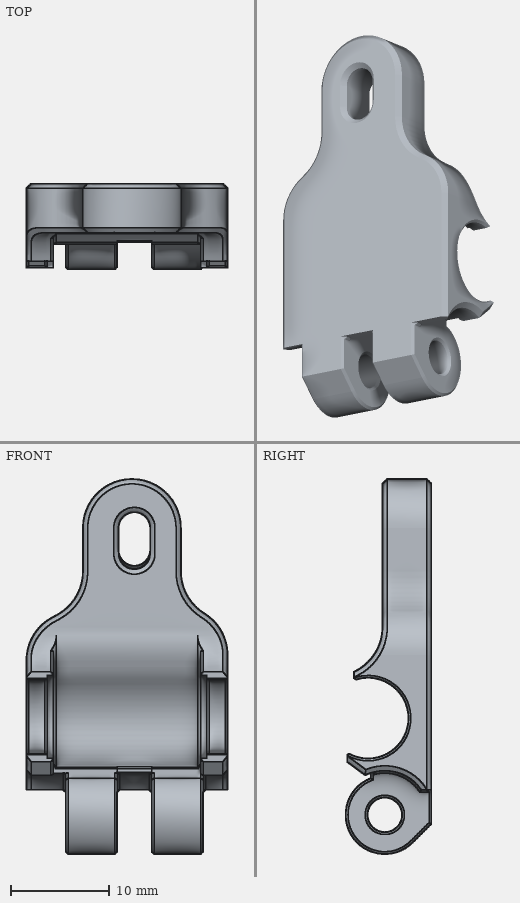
import cadquery as cq
import math


BODY_HALF = 10.25
PLATE_Y = -5.0
BODY_BOTTOM = 2.55
EDGE_CHAMFER = 0.5
SMALL_CHAMFER = 0.25

TAB_X = 0.5
TAB_RADIUS = 5.0
TAB_Z = 29.21
LEFT_SHOULDER_Z = 15.7
NECK_Z = 24.77
BEND_RADIUS = 5.0

SLOT_X = 0.75
SLOT_RADIUS = 1.6
FRONT_SLOT_TRAVEL = 2.6
BACK_SLOT_TRAVEL = 2.2

HINGE_Y = -4.75
KNUCKLE_RADIUS = 4.0
CLEARANCE_RADIUS = 4.5
PIN_RADIUS = 1.75
KNUCKLE_WIDTH = 5.25
KNUCKLE_STARTS = (-6.25, 2.5)
KNUCKLE_TOP = 4.75
RAMP_ANGLE = 45.0

SEAT_Y = -6.45
SEAT_Z = 9.85
SEAT_RADIUS = 4.1
STEP_RADIUS = 4.6
STEP_HALF = 8.1

HORN_RADIUS = 5.0
HORN_Z = 19.1
UPPER_TIP_Y = -7.9
LOWER_TIP_Y = -8.6
LOWER_TIP_Z = 5.4
LOWER_HEEL_Y = -6.75

POCKET_HALF = 7.5
POCKET_RADIUS = 5.0
POCKET_CHAMFER = 0.3
BROW_RADIUS = 4.0
BROW_START_ANGLE = 10.0
BROW_END_ANGLE = 51.0
LIP_Y = -6.2
LIP_CHAMFER = 0.2
GAP_LIP_SETBACK = 0.2

TOLERANCE = 0.001

CLEAR = 5.0


def polar(center, radius, degrees):
    angle = math.radians(degrees)
    return (center[0] + radius * math.cos(angle), center[1] + radius * math.sin(angle))


def heading(start, end):
    return math.degrees(math.atan2(end[1] - start[1], end[0] - start[0]))


def arc_height(radius, center_y, y):
    """Height of a circle's rim above its centre at a given Y."""
    return math.sqrt(radius**2 - (y - center_y) ** 2)


def revolved(half_section):
    """Solid turned about the X axis from (X, radius) points."""
    return cq.Workplane("XY").polyline(half_section).close().revolve(360, (0, 0, 0), (1, 0, 0))


def outline():
    """Front outline: body, shoulders and tab, extruded through the full depth."""
    tab_left = TAB_X - TAB_RADIUS
    tab_right = TAB_X + TAB_RADIUS

    left_shoulder = (-BODY_HALF + BEND_RADIUS, LEFT_SHOULDER_Z)
    left_neck = (tab_left - BEND_RADIUS, NECK_Z)
    spread = math.degrees(math.acos(2 * BEND_RADIUS / math.dist(left_shoulder, left_neck)))
    left_angle = heading(left_shoulder, left_neck) + spread
    left_end = polar(left_shoulder, BEND_RADIUS, left_angle)
    left_half = (180 + left_angle) / 2

    right_shoulder_x = BODY_HALF - BEND_RADIUS
    right_neck = (tab_right + BEND_RADIUS, NECK_Z)
    drop = math.sqrt((2 * BEND_RADIUS) ** 2 - (right_neck[0] - right_shoulder_x) ** 2)
    right_shoulder = (right_shoulder_x, NECK_Z - drop)
    right_angle = heading(right_shoulder, right_neck)
    right_touch = polar(right_shoulder, BEND_RADIUS, right_angle)
    right_half = right_angle / 2

    return (
        cq.Workplane("XZ")
        .moveTo(-BODY_HALF, 0)
        .lineTo(-BODY_HALF, LEFT_SHOULDER_Z)
        .threePointArc(polar(left_shoulder, BEND_RADIUS, left_half), left_end)
        .lineTo(*polar(left_neck, -BEND_RADIUS, left_angle))
        .threePointArc(polar(left_neck, -BEND_RADIUS, left_half), (tab_left, NECK_Z))
        .lineTo(tab_left, TAB_Z)
        .threePointArc((TAB_X, TAB_Z + TAB_RADIUS), (tab_right, TAB_Z))
        .lineTo(tab_right, NECK_Z)
        .threePointArc(polar(right_neck, -BEND_RADIUS, right_half), right_touch)
        .threePointArc(polar(right_shoulder, BEND_RADIUS, right_half), (BODY_HALF, right_shoulder[1]))
        .lineTo(BODY_HALF, 0)
        .close()
        .extrude(-LOWER_TIP_Y + CLEAR)
    )


def side_profile():
    """Side shape of plate and horns, with the seat still solid, extruded across the full width."""
    horn_center = (PLATE_Y - HORN_RADIUS, HORN_Z)
    upper_tip_z = HORN_Z - arc_height(HORN_RADIUS, horn_center[0], UPPER_TIP_Y)
    tip_angle = heading(horn_center, (UPPER_TIP_Y, upper_tip_z))
    heel_z = arc_height(CLEARANCE_RADIUS, HINGE_Y, LOWER_HEEL_Y)
    bottom_y = HINGE_Y + arc_height(CLEARANCE_RADIUS, 0, BODY_BOTTOM)
    return (
        cq.Workplane("YZ", origin=(-BODY_HALF, 0, 0))
        .moveTo(0, BODY_BOTTOM)
        .lineTo(0, TAB_Z + TAB_RADIUS)
        .lineTo(PLATE_Y, TAB_Z + TAB_RADIUS)
        .lineTo(PLATE_Y, HORN_Z)
        .threePointArc(polar(horn_center, HORN_RADIUS, tip_angle / 2), (UPPER_TIP_Y, upper_tip_z))
        .lineTo(UPPER_TIP_Y, SEAT_Z)
        .lineTo(LOWER_TIP_Y, SEAT_Z)
        .lineTo(LOWER_TIP_Y, LOWER_TIP_Z)
        .lineTo(LOWER_HEEL_Y, heel_z)
        .threePointArc((HINGE_Y, CLEARANCE_RADIUS), (bottom_y, BODY_BOTTOM))
        .close()
        .extrude(2 * BODY_HALF)
    )


def front_edges(blank):
    """Edges where the outline walls meet the plate, the horns and the hinge clearance.

    Left out are the back rim, the lines running across X and the stub that the seat removes.
    """
    outer_width = 2 * BODY_HALF
    picked = []
    for edge in blank.edges("not |Y").vals():
        box = edge.BoundingBox()
        on_back = box.ymax > -EDGE_CHAMFER / 2
        across = box.xlen > outer_width - 2 * BEND_RADIUS and edge.geomType() == "LINE"
        on_solid_seat = box.ymax < UPPER_TIP_Y + TOLERANCE and box.zmax > SEAT_Z - TOLERANCE
        if not (on_back or across or on_solid_seat):
            picked.append(edge)
    return picked


def body_blank():
    """Plate with solid end walls: beveled along the front, then trimmed by the beveled back rim."""
    wall = outline()
    blank = wall.intersect(side_profile())
    front = blank.newObject(front_edges(blank)).chamfer(EDGE_CHAMFER)
    return front.intersect(wall.faces(">Y").edges("not |X").chamfer(EDGE_CHAMFER))


def slot_sketch(y, travel, radius):
    """Upright slot outline at a given Y, with its upper centre level with the tab's centre."""
    plane = cq.Workplane("XZ", origin=(SLOT_X, y, TAB_Z - travel / 2))
    return plane.slot2D(travel + 2 * radius, 2 * radius, 90)


def slot():
    """Slot through the tab, a little shorter at the back and flared at both mouths."""
    back = slot_sketch(0, BACK_SLOT_TRAVEL, SLOT_RADIUS)
    front = slot_sketch(PLATE_Y, FRONT_SLOT_TRAVEL, SLOT_RADIUS)
    through = cq.Solid.makeLoft([back.wires().val(), front.wires().val()], True)

    wide_radius = SLOT_RADIUS + EDGE_CHAMFER
    back_mouth = slot_sketch(CLEAR - EDGE_CHAMFER, BACK_SLOT_TRAVEL, wide_radius).extrude(CLEAR)
    front_mouth = slot_sketch(PLATE_Y + EDGE_CHAMFER, FRONT_SLOT_TRAVEL, wide_radius).extrude(CLEAR)
    back_flare = back_mouth.faces("<Y").chamfer(EDGE_CHAMFER)
    front_flare = front_mouth.faces(">Y").chamfer(EDGE_CHAMFER)
    return cq.Workplane(obj=through).union(back_flare).union(front_flare)


def seat_profile():
    """Half section of one end of the seat, from the pocket wall outward, as (X, radius) points."""
    return [
        (0, 0),
        (0, STEP_RADIUS),
        (STEP_HALF, STEP_RADIUS),
        (STEP_HALF, SEAT_RADIUS + SMALL_CHAMFER),
        (STEP_HALF + SMALL_CHAMFER, SEAT_RADIUS),
        (BODY_HALF - SMALL_CHAMFER, SEAT_RADIUS),
        (BODY_HALF, SEAT_RADIUS + SMALL_CHAMFER),
        (BODY_HALF, 0),
    ]


def seat():
    """Round seat through both end walls, with a wider step next to the pocket."""
    half = revolved(seat_profile())
    return half.union(half.mirror("YZ")).translate((0, SEAT_Y, SEAT_Z))


def pocket(lip_y, start, end):
    """Pocket tool between two X positions: brow, round floor and the lip at lip_y."""
    horn_center = (PLATE_Y - HORN_RADIUS, HORN_Z)
    seat_center = (SEAT_Y, SEAT_Z)

    upper_center = polar(horn_center, HORN_RADIUS + BROW_RADIUS, -BROW_START_ANGLE)
    lower_center = polar(seat_center, POCKET_RADIUS + BROW_RADIUS, BROW_END_ANGLE)
    flat_angle = heading(lower_center, upper_center) - 90
    brow_start = polar(horn_center, HORN_RADIUS, -BROW_START_ANGLE)
    floor_start = polar(seat_center, POCKET_RADIUS, BROW_END_ANGLE)
    upper_middle = polar(upper_center, -BROW_RADIUS, (flat_angle - BROW_START_ANGLE) / 2)
    lower_middle = polar(lower_center, -BROW_RADIUS, (flat_angle + BROW_END_ANGLE) / 2)

    floor_end_y = lip_y + LIP_CHAMFER
    floor_end_z = SEAT_Z - arc_height(POCKET_RADIUS, SEAT_Y, floor_end_y)
    lip_bottom = arc_height(KNUCKLE_RADIUS, HINGE_Y, lip_y)
    front_y = LOWER_TIP_Y - CLEAR
    return (
        cq.Workplane("YZ", origin=(start, 0, 0))
        .moveTo(front_y, brow_start[1])
        .lineTo(*brow_start)
        .threePointArc(upper_middle, polar(upper_center, -BROW_RADIUS, flat_angle))
        .lineTo(*polar(lower_center, -BROW_RADIUS, flat_angle))
        .threePointArc(lower_middle, floor_start)
        .threePointArc(polar(seat_center, POCKET_RADIUS, 0), (floor_end_y, floor_end_z))
        .lineTo(lip_y, floor_end_z - LIP_CHAMFER)
        .lineTo(lip_y, lip_bottom)
        .lineTo(front_y, lip_bottom)
        .close()
        .extrude(end - start)
    )


def cut_pocket(body):
    """Pocket with beveled floor corners; its lip is set back in the gap between the knuckles."""
    main = pocket(LIP_Y, -POCKET_HALF, POCKET_HALF)
    floor_zone = cq.selectors.BoxSelector(
        (-BODY_HALF, LIP_Y + TOLERANCE, 0), (BODY_HALF, 0, HORN_Z))
    corners = main.faces("<X or >X").edges(floor_zone)
    gap = pocket(LIP_Y + GAP_LIP_SETBACK, KNUCKLE_STARTS[0] + KNUCKLE_WIDTH, KNUCKLE_STARTS[1])
    return body.cut(corners.chamfer(POCKET_CHAMFER)).cut(gap)


def pin_hole(start):
    """Pin hole with a flare at both ends, starting at the given X."""
    end = start + KNUCKLE_WIDTH
    flare_radius = PIN_RADIUS + SMALL_CHAMFER
    half_section = [
        (start, 0),
        (start, flare_radius),
        (start + SMALL_CHAMFER, PIN_RADIUS),
        (end - SMALL_CHAMFER, PIN_RADIUS),
        (end, flare_radius),
        (end, 0),
    ]
    return revolved(half_section).translate((0, HINGE_Y, 0))


def knuckle(start):
    """Hinge knuckle with a beveled rim and a beveled pin hole."""
    tangent = polar((HINGE_Y, 0), KNUCKLE_RADIUS, -RAMP_ANGLE)
    lip_z = arc_height(KNUCKLE_RADIUS, HINGE_Y, LIP_Y)
    block = (
        cq.Workplane("YZ", origin=(start, 0, 0))
        .moveTo(0, KNUCKLE_TOP)
        .lineTo(0, tangent[1] - tangent[0] / math.tan(math.radians(RAMP_ANGLE)))
        .lineTo(*tangent)
        .threePointArc((HINGE_Y - KNUCKLE_RADIUS, 0), (LIP_Y, lip_z))
        .lineTo(LIP_Y, KNUCKLE_TOP)
        .close()
        .extrude(KNUCKLE_WIDTH)
    )
    rounded = block.faces("<X or >X").edges().chamfer(SMALL_CHAMFER)
    return rounded.cut(pin_hole(start))


def bevel_tips(body):
    """Small flat bevels where the seat breaks out at the horn tips."""
    for tip_y, side in ((UPPER_TIP_Y, 1), (LOWER_TIP_Y, -1)):
        corner = (tip_y, SEAT_Z + side * arc_height(SEAT_RADIUS, SEAT_Y, tip_y))
        corner_angle = heading((SEAT_Y, SEAT_Z), corner)
        turn = side * math.degrees(SMALL_CHAMFER / SEAT_RADIUS)
        on_seat = polar((SEAT_Y, SEAT_Z), SEAT_RADIUS, corner_angle - turn)
        on_tip = (tip_y, corner[1] + side * SMALL_CHAMFER)
        wedge = (
            cq.Workplane("YZ", origin=(STEP_HALF, 0, 0))
            .polyline([corner, on_seat, on_tip])
            .close()
            .extrude(BODY_HALF - STEP_HALF)
        )
        body = body.cut(wedge).cut(wedge.mirror("YZ"))
    return body


def edges_at(body, x_positions):
    """Edges that lie in one of the given planes of constant X, with their bounding boxes."""
    for edge in body.edges().vals():
        box = edge.BoundingBox()
        if box.xlen < TOLERANCE and any(abs(box.xmin - x) < TOLERANCE for x in x_positions):
            yield edge, box


def fill_knuckle_corners(body):
    """Sloped fillers where the knuckle sides meet the clearance arc and the body's bottom."""
    sides = [start + offset for start in KNUCKLE_STARTS for offset in (0, KNUCKLE_WIDTH)]
    corners = [
        edge for edge, box in edges_at(body, sides)
        if abs(box.zmin - BODY_BOTTOM) < TOLERANCE and box.ymin < -EDGE_CHAMFER
    ]
    return body.newObject(corners).chamfer(SMALL_CHAMFER)


def bevel_horns(body):
    """Bevels along the inner edges of the horns, on the pocket side."""
    def on_horn(box):
        upper = box.ymin < UPPER_TIP_Y + TOLERANCE and box.ylen > EDGE_CHAMFER and box.zmin > SEAT_Z
        lower = box.ymax < LOWER_HEEL_Y + TOLERANCE and box.zmax < LOWER_TIP_Z + TOLERANCE
        return upper or lower

    inner = [edge for edge, box in edges_at(body, (-POCKET_HALF, POCKET_HALF)) if on_horn(box)]
    return body.newObject(inner).chamfer(SMALL_CHAMFER)


body = body_blank()
for start in KNUCKLE_STARTS:
    body = body.union(knuckle(start))
body = fill_knuckle_corners(body)
body = cut_pocket(body)
body = body.cut(slot()).cut(seat())
body = bevel_horns(body)
result = bevel_tips(body).solids()